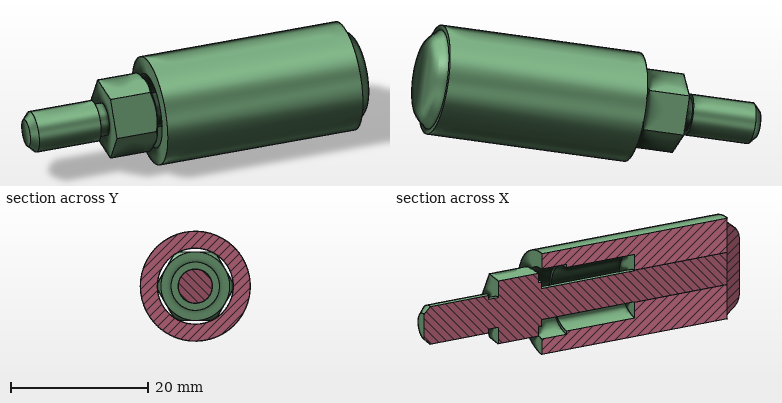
import cadquery as cq
import math


sleeve_radius = 8.0
sleeve_length = 30.0
recess_radius = 5.5
recess_depth = 4.0
clearance_radius = 5.0
clearance_depth = 15.0

collar_radius = 3.5
shaft_radius = 2.5
hex_gap = 0.5
hex_sides = 6
hex_across_flats = 10.0
hex_length = 6.55
hex_chamfer_angle = 30
stud_length = 12.0
stud_radius = 3.0
stud_chamfer = 1.0
undercut_radius = 2.4
undercut_length = 1.5

cap_height = 2.0
cap_base_radius = 7.3
cap_shoulder_radius = 6.25
cap_shoulder_drop = 0.8
cap_top_radius = 4.5
cap_crown_bulge = 0.2

hex_rear = -hex_gap
hex_front = hex_rear - hex_length
undercut_front = hex_front - undercut_length
stud_tip = hex_front - stud_length
cap_top = sleeve_length + cap_height


def revolve_about_y(profile):
    """Turn a closed XY profile fully about the Y axis."""
    return profile.revolve(360, (0, 0, 0), (0, 1, 0))


def cylinder_along_y(radius, start, end):
    """Solid cylinder on the Y axis between two Y positions."""
    return revolve_about_y(
        cq.Workplane("XY")
        .moveTo(0, start)
        .lineTo(radius, start)
        .lineTo(radius, end)
        .lineTo(0, end)
        .close()
    )


def make_sleeve():
    """Grip tube with a bore for the shaft that widens in two steps towards the open end."""
    body = cylinder_along_y(sleeve_radius, 0, sleeve_length)
    bore = cylinder_along_y(shaft_radius, 0, sleeve_length)
    recess = cylinder_along_y(recess_radius, 0, recess_depth)
    clearance = cylinder_along_y(clearance_radius, 0, clearance_depth)
    return body.cut(bore).cut(clearance).cut(recess)


def make_hexagon():
    """Hexagon with corners on the X axis, its rear corners turned to a cone."""
    flat_radius = hex_across_flats / 2
    corner_radius = flat_radius / math.cos(math.pi / hex_sides)
    prism = (
        cq.Workplane("XZ", origin=(0, hex_rear, 0))
        .polygon(hex_sides, 2 * corner_radius)
        .extrude(hex_length)
    )
    chamfer_drop = (corner_radius - flat_radius) * math.tan(math.radians(hex_chamfer_angle))
    envelope = revolve_about_y(
        cq.Workplane("XY")
        .moveTo(0, hex_front)
        .lineTo(corner_radius, hex_front)
        .lineTo(corner_radius, hex_rear - chamfer_drop)
        .lineTo(flat_radius, hex_rear)
        .lineTo(0, hex_rear)
        .close()
    )
    return prism.intersect(envelope)


def make_stud():
    """Threaded end with an undercut behind it and a chamfered tip."""
    return revolve_about_y(
        cq.Workplane("XY")
        .moveTo(0, hex_front)
        .lineTo(undercut_radius, hex_front)
        .lineTo(undercut_radius, undercut_front)
        .lineTo(stud_radius, undercut_front)
        .lineTo(stud_radius, stud_tip + stud_chamfer)
        .lineTo(stud_radius - stud_chamfer, stud_tip)
        .lineTo(0, stud_tip)
        .close()
    )


def make_spindle():
    """One-piece spindle whose shaft fills the sleeve's bore."""
    shaft = cylinder_along_y(shaft_radius, hex_rear, sleeve_length)
    collar = cylinder_along_y(collar_radius, hex_rear, 0)
    return shaft.union(collar).union(make_hexagon()).union(make_stud())


def make_cap():
    """End cap with a conical flank and a rounded crown edge."""
    shoulder = (cap_shoulder_radius, cap_top - cap_shoulder_drop)
    return revolve_about_y(
        cq.Workplane("XY")
        .moveTo(0, sleeve_length)
        .lineTo(cap_base_radius, sleeve_length)
        .lineTo(*shoulder)
        .sagittaArc((cap_top_radius, cap_top), -cap_crown_bulge)
        .lineTo(0, cap_top)
        .close()
    )


sleeve = make_sleeve()
spindle = make_spindle()
cap = make_cap()

result = cq.Compound.makeCompound([sleeve.val(), spindle.val(), cap.val()])